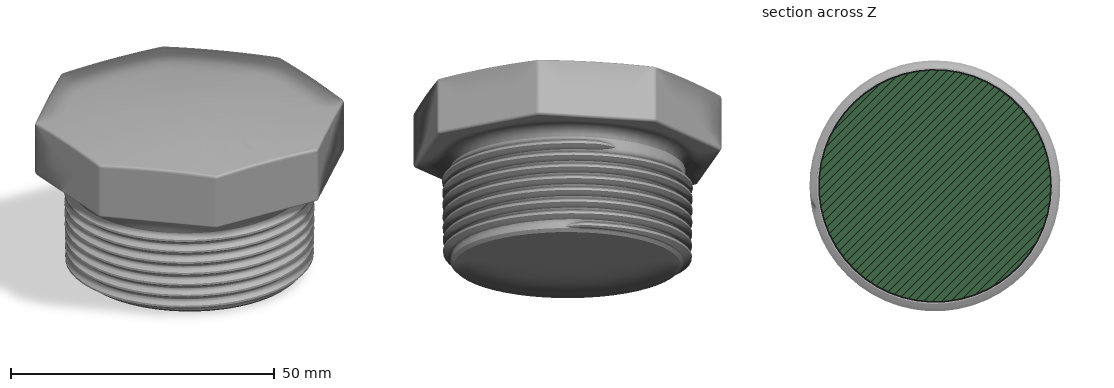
import cadquery as cq
import math

total_height = 34.0

head_width = 55.0
head_bottom = 21.0
side_count = 8
dome_radius = 207.0
corner_fillet = 1.0
rim_fillet = 0.5

groove_radius = 1.6
groove_floor_radius = 21.9
groove_bottom = 18.7

shank_top_radius = 22.4
shank_end_radius = 22.17
end_chamfer_height = 0.6
end_face_radius = 21.5

pitch = 25.4 / 11
turns = 7
start_angle = 180.0
thread_start = 1.05
thread_height = 1.42
crest_width = 0.4
flank_angle = 27.5
root_overlap = 0.2
runout_angle = 12.3

shank_taper = (shank_top_radius - shank_end_radius) / (groove_bottom - end_chamfer_height)


def shank_radius(z):
    """Radius of the tapered thread root at height z."""
    return shank_end_radius + shank_taper * (z - end_chamfer_height)


def make_head():
    """Octagonal prism under a shallow dome, with all outer edges rounded."""
    across_corners = head_width / math.cos(math.pi / side_count)
    half_side_angle = 180.0 / side_count
    prism = (
        cq.Workplane("XY", origin=(0, 0, head_bottom))
        .transformed(rotate=(0, 0, half_side_angle))
        .polygon(side_count, across_corners)
        .extrude(total_height - head_bottom)
        .edges("|Z")
        .fillet(corner_fillet)
    )
    dome = cq.Workplane("XY", origin=(0, 0, total_height - dome_radius)).sphere(dome_radius)
    head = prism.intersect(dome)
    return head.edges("not |Z").fillet(rim_fillet)


def make_shank():
    """Revolved core with the end chamfer, the tapered root and the undercut."""
    groove_axis_radius = groove_floor_radius + groove_radius
    groove_axis_height = head_bottom - groove_radius
    drop = groove_axis_height - groove_bottom
    groove_edge_radius = groove_axis_radius - math.sqrt(groove_radius**2 - drop**2)
    return (
        cq.Workplane("XZ")
        .moveTo(0, 0)
        .lineTo(end_face_radius, 0)
        .lineTo(shank_end_radius, end_chamfer_height)
        .lineTo(shank_top_radius, groove_bottom)
        .lineTo(groove_edge_radius, groove_bottom)
        .threePointArc((groove_floor_radius, groove_axis_height), (groove_axis_radius, head_bottom))
        .lineTo(0, head_bottom)
        .close()
        .revolve(360, (0, 0, 0), (0, 1, 0))
    )


def thread_section(z):
    """Trapezoidal thread section at height z, on the +X side."""
    root = shank_radius(z) - root_overlap
    crest = shank_radius(z) + thread_height
    half_crest = crest_width / 2
    half_root = half_crest + (crest - root) * math.tan(math.radians(flank_angle))
    return (
        cq.Workplane("XZ")
        .moveTo(root, z - half_root)
        .lineTo(crest, z - half_crest)
        .lineTo(crest, z + half_crest)
        .lineTo(root, z + half_root)
        .close()
    )


def make_runout(z):
    """Thread section at height z turned about a tighter axis, so that its crest dips into the root."""
    root = shank_radius(z)
    crest = root + thread_height
    fade = math.radians(runout_angle)
    axis_x = (crest**2 - root**2) / (2 * (crest - root * math.cos(fade)))
    return thread_section(z).revolve(360, (axis_x, 0, 0), (axis_x, 1, 0))


def make_thread():
    """Helical ridge and its two run-outs, trimmed level with the end chamfer."""
    length = pitch * turns
    path = cq.Wire.makeHelix(
        pitch,
        length,
        shank_radius(thread_start),
        center=cq.Vector(0, 0, thread_start),
        angle=math.degrees(math.atan(shank_taper)),
    )
    ridge = thread_section(thread_start).sweep(cq.Workplane(path), isFrenet=True)
    parts = [ridge, make_runout(thread_start), make_runout(thread_start + length)]
    trim = cq.Workplane("XY").circle(head_width / 2).extrude(end_chamfer_height)
    return [part.cut(trim).rotate((0, 0, 0), (0, 0, 1), start_angle) for part in parts]


result = make_head().union(make_shank())
for thread_part in make_thread():
    result = result.union(thread_part)